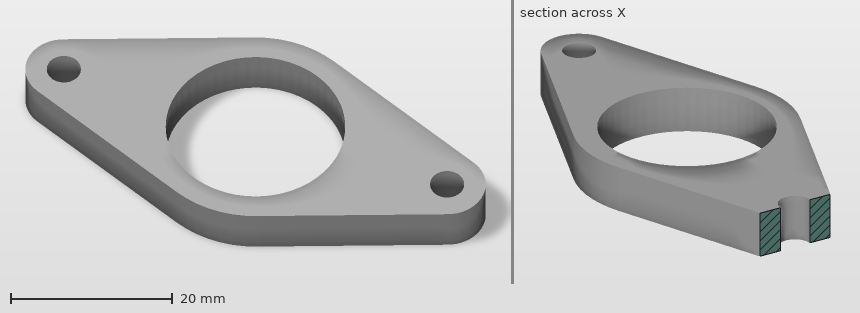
import cadquery as cq
import math

length = 60.3
width = 28.5
thickness = 6.0
end_radius = 4.75
bore_diameter = 22.2
bolt_hole_diameter = 4.2

waist_radius = width / 2
bolt_offset = length / 2 - end_radius

flank_sine = (waist_radius - end_radius) / bolt_offset
flank_cosine = math.sqrt(1 - flank_sine**2)
waist_x = waist_radius * flank_sine
waist_y = waist_radius * flank_cosine
end_x = bolt_offset + end_radius * flank_sine
end_y = end_radius * flank_cosine

plate = (
    cq.Workplane("XY")
    .workplane(offset=-thickness / 2)
    .moveTo(-waist_x, waist_y)
    .threePointArc((0, waist_radius), (waist_x, waist_y))
    .lineTo(end_x, end_y)
    .threePointArc((length / 2, 0), (end_x, -end_y))
    .lineTo(waist_x, -waist_y)
    .threePointArc((0, -waist_radius), (-waist_x, -waist_y))
    .lineTo(-end_x, -end_y)
    .threePointArc((-length / 2, 0), (-end_x, end_y))
    .close()
    .extrude(thickness)
)

bored_plate = plate.faces(">Z").workplane(origin=(0, 0, 0)).hole(bore_diameter)
result = (
    bored_plate.faces(">Z")
    .workplane(origin=(0, 0, 0))
    .pushPoints([(-bolt_offset, 0), (bolt_offset, 0)])
    .hole(bolt_hole_diameter)
)